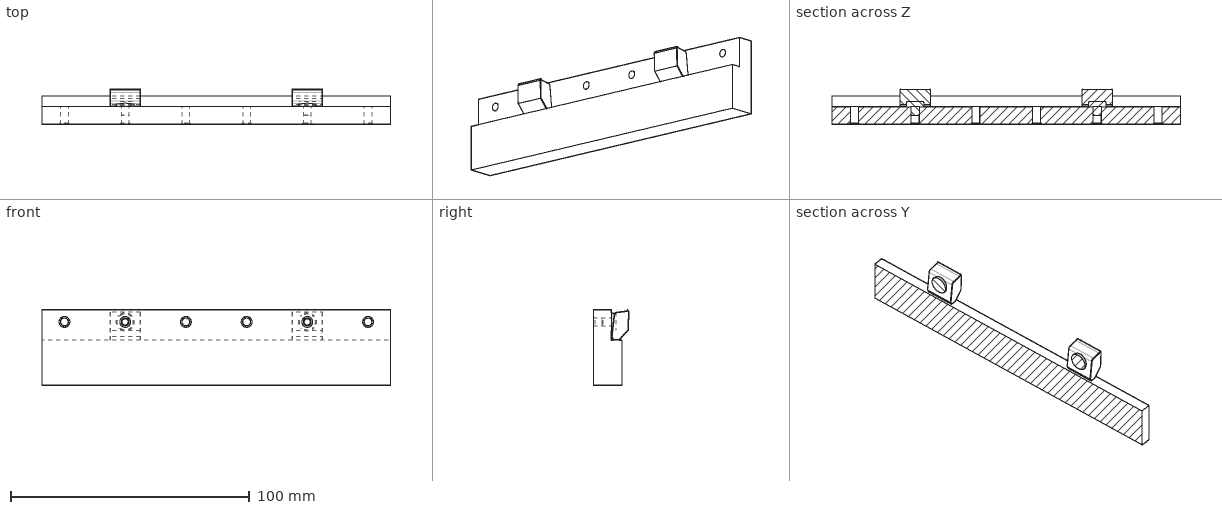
import cadquery as cq
import math

PLATE_LENGTH = 146.0
PLATE_HEIGHT = 31.7
BASE_THICKNESS = 12.0
WALL_THICKNESS = 7.5
STEP_HEIGHT = 19.0

HOLE_COUNT = 6
HOLE_PITCH = 25.4
HOLE_DROP = 5.1
HOLE_DIAMETER = 3.2
COUNTERSINK_DIAMETER = 4.5
COUNTERSINK_ANGLE = 90.0

CLIP_HOLE_INDICES = (1, 4)
CLIP_WIDTH = 12.9
CLIP_EDGE_CHAMFER = 0.22
CLIP_BACK_TOP = (14.9, 30.8)
CLIP_BACK_BOTTOM = (14.6, 23.1)
LIP_TIP = (14.3, PLATE_HEIGHT)
LIP_MIDDLE = (13.9, 31.3)
LIP_FOOT = (13.5, 31.1)
CLIP_FRONT_TOP = (8.8, 30.5)
CLIP_FRONT_BOTTOM = (7.6, 20.5)
CLIP_FOOT_FRONT = 8.3
CLIP_FOOT_BACK = 10.8
CLIP_TOP_FILLET = 1.3

BUTTON_DIAMETER = 7.6
BUTTON_RIM = 0.3
BUTTON_LENGTH = 2.0
BUTTON_TAPER_ANGLE = 14.0

SCREW_LENGTH = 3.8
SCREW_TIP_CHAMFER = 0.3

hole_height = PLATE_HEIGHT - HOLE_DROP
hole_positions = [(i - (HOLE_COUNT - 1) / 2) * HOLE_PITCH for i in range(HOLE_COUNT)]
clip_positions = [hole_positions[index] for index in CLIP_HOLE_INDICES]


def make_plate():
    """L-shaped bar with a countersunk hole row, open to the front face at Y = 0."""
    bar = (
        cq.Workplane("YZ")
        .moveTo(0, 0)
        .lineTo(BASE_THICKNESS, 0)
        .lineTo(BASE_THICKNESS, STEP_HEIGHT)
        .lineTo(WALL_THICKNESS, STEP_HEIGHT)
        .lineTo(WALL_THICKNESS, PLATE_HEIGHT)
        .lineTo(0, PLATE_HEIGHT)
        .close()
        .extrude(PLATE_LENGTH / 2, both=True)
    )
    return (
        bar.faces("<Y")
        .workplane(origin=(0, 0, 0))
        .pushPoints([(x, hole_height) for x in hole_positions])
        .cskHole(HOLE_DIAMETER, COUNTERSINK_DIAMETER, COUNTERSINK_ANGLE, depth=WALL_THICKNESS)
    )


def make_button(x):
    """Disc against the wall's back face: a short straight rim, then a tapered nose."""
    radius = BUTTON_DIAMETER / 2
    nose_length = BUTTON_LENGTH - BUTTON_RIM
    nose_radius = radius - nose_length * math.tan(math.radians(BUTTON_TAPER_ANGLE))
    return (
        cq.Workplane("XY")
        .moveTo(0, 0)
        .lineTo(radius, 0)
        .lineTo(radius, BUTTON_RIM)
        .lineTo(nose_radius, BUTTON_LENGTH)
        .lineTo(0, BUTTON_LENGTH)
        .close()
        .revolve(360, (0, 0, 0), (0, 1, 0))
        .translate((x, WALL_THICKNESS, hole_height))
    )


def make_screw(x):
    """Plain pin with a chamfered front end, its other end flush with the wall's back face."""
    return (
        cq.Workplane("XZ", origin=(x, WALL_THICKNESS, hole_height))
        .circle(HOLE_DIAMETER / 2)
        .extrude(SCREW_LENGTH)
        .faces("<Y")
        .chamfer(SCREW_TIP_CHAMFER)
    )


def make_clip(x):
    """Leaning block with a raised lip, standing on the step, recessed for the button."""
    block = (
        cq.Workplane("YZ", origin=(x, 0, 0))
        .moveTo(*CLIP_FRONT_TOP)
        .lineTo(*LIP_FOOT)
        .threePointArc(LIP_MIDDLE, LIP_TIP)
        .lineTo(*CLIP_BACK_TOP)
        .lineTo(*CLIP_BACK_BOTTOM)
        .lineTo(CLIP_FOOT_BACK, STEP_HEIGHT)
        .lineTo(CLIP_FOOT_FRONT, STEP_HEIGHT)
        .lineTo(*CLIP_FRONT_BOTTOM)
        .close()
        .extrude(CLIP_WIDTH / 2, both=True)
    )
    top_front_edge = cq.selectors.NearestToPointSelector((x, *CLIP_FRONT_TOP))
    block = block.edges(top_front_edge).fillet(CLIP_TOP_FILLET)
    block = block.faces("<X or >X").chamfer(CLIP_EDGE_CHAMFER)
    return block.cut(make_button(x))


plate = make_plate()
clips = [make_clip(x) for x in clip_positions]
buttons = [make_button(x) for x in clip_positions]
screws = [make_screw(x) for x in clip_positions]

bodies = [plate, *clips, *buttons, *screws]
result = cq.Compound.makeCompound([body.val() for body in bodies])